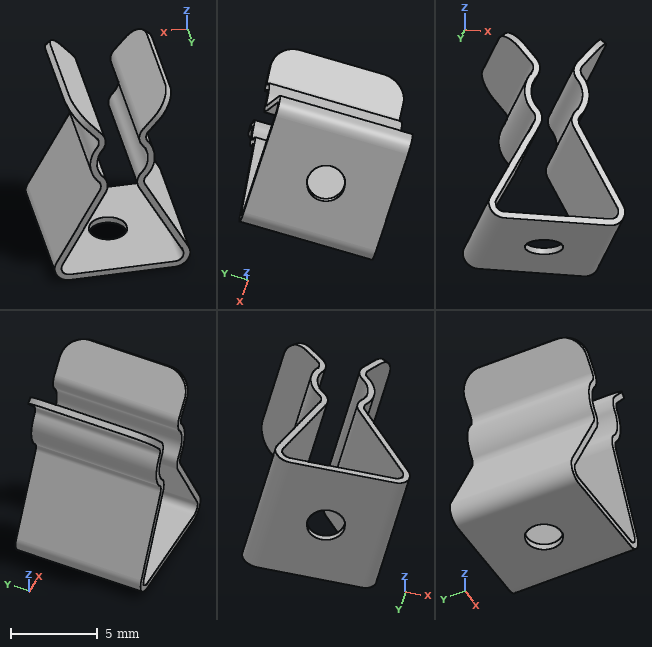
import cadquery as cq
import math

base_width = 8.0
depth = 8.0
height = 12.0
sheet = 0.4
bend_radius = 0.5
grip_radius = 1.5
grip_height = 8.0
upper_gap = 1.98
lower_gap = 1.74
arm_angle = 40.0
tip_corner_radius = 1.5
hole_diameter = 2.2

wide_radius = bend_radius + sheet
grip_outer_radius = grip_radius + sheet
bend_spacing = grip_outer_radius + bend_radius


def on_circle(center, radius, angle):
    """Point on a circle in the XZ profile plane, angle in degrees from +X."""
    turn = math.radians(angle)
    return (center[0] + radius * math.cos(turn), center[1] + radius * math.sin(turn))


lower_x = lower_gap / 2 + wide_radius
upper_x = upper_gap / 2 + wide_radius
lower_grip_angle = math.degrees(math.acos(lower_x / bend_spacing))
upper_grip_angle = math.degrees(math.acos(upper_x / bend_spacing))
grip_center = (0.0, grip_height)
lower_center = on_circle(grip_center, bend_spacing, -lower_grip_angle)
upper_center = on_circle(grip_center, bend_spacing, upper_grip_angle)
foot_center = (base_width / 2 - wide_radius, wide_radius)

leg_run = foot_center[0] - lower_center[0]
leg_rise = lower_center[1] - foot_center[1]
leg_angle = math.degrees(
    math.atan2(leg_run, leg_rise)
    + math.asin((wide_radius + bend_radius) / math.hypot(leg_run, leg_rise))
)

foot = (foot_center, -90.0, leg_angle)
lower_pinch = (lower_center, 180.0 + leg_angle, 180.0 - lower_grip_angle)
grip = (grip_center, -lower_grip_angle, upper_grip_angle)
upper_pinch = (upper_center, 180.0 + upper_grip_angle, 180.0 - arm_angle)


def bend_start(bend, radius):
    center, start, _ = bend
    return on_circle(center, radius, start)


def bend_end(bend, radius):
    center, _, end = bend
    return on_circle(center, radius, end)


def bend_middle(bend, radius):
    center, start, end = bend
    return on_circle(center, radius, (start + end) / 2)


def arc_up(profile, bend, radius):
    """Arc along a bend away from the base."""
    return profile.threePointArc(bend_middle(bend, radius), bend_end(bend, radius))


def arc_down(profile, bend, radius):
    """Arc along a bend back toward the base."""
    return profile.threePointArc(bend_middle(bend, radius), bend_start(bend, radius))


def half_profile():
    """Closed outline of the right half of the bent strip."""
    arm_foot = bend_end(upper_pinch, wide_radius)
    arm_rise = height - arm_foot[1]
    inner_tip = (arm_foot[0] + arm_rise * math.tan(math.radians(arm_angle)), height)
    outer_tip = on_circle(inner_tip, sheet, -arm_angle)

    profile = cq.Workplane("XZ").moveTo(0, 0).lineTo(*bend_start(foot, wide_radius))
    profile = arc_up(profile, foot, wide_radius)
    profile = profile.lineTo(*bend_start(lower_pinch, bend_radius))
    profile = arc_up(profile, lower_pinch, bend_radius)
    profile = arc_up(profile, grip, grip_outer_radius)
    profile = arc_up(profile, upper_pinch, bend_radius)
    profile = profile.lineTo(*outer_tip).lineTo(*inner_tip)

    profile = profile.lineTo(*arm_foot)
    profile = arc_down(profile, upper_pinch, wide_radius)
    profile = arc_down(profile, grip, grip_radius)
    profile = arc_down(profile, lower_pinch, wide_radius)
    profile = profile.lineTo(*bend_end(foot, bend_radius))
    profile = arc_down(profile, foot, bend_radius)
    return profile.lineTo(0, sheet).close()


def half_clip():
    """Right half of the strip with the two corners of its arm tip rounded."""
    strip = half_profile().extrude(depth / 2, both=True)
    return strip.faces(">Z").edges("not |Y").fillet(tip_corner_radius)


def mounting_hole():
    """Cutter through the base sheet only."""
    return cq.Workplane("XY").circle(hole_diameter / 2).extrude(sheet)


right_half = half_clip()
clip = right_half.union(right_half.mirror("YZ"), clean=True)
result = clip.cut(mounting_hole())